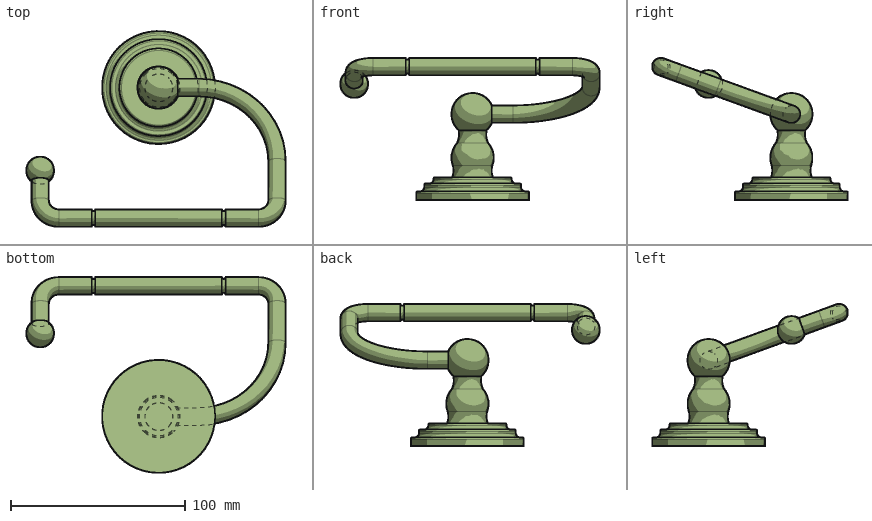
import cadquery as cq
import math

flange_radius = 32.5
flange_rim_top = 5.0
flange_rim_round = 1.0
middle_radius = 27.9
middle_top = 9.5
middle_round = 0.9
upper_radius = 22.5
flange_height = 13.1
upper_round = 1.0
cove_radius = 2.4

post_foot_radius = 11.8
foot_waist_radius = 11.0
foot_waist_height = 17.3
bulge_start_radius = 11.5
bulge_start_height = 20.0
bulge_radius = 12.2
bulge_height = 24.9
neck_start_radius = 9.0
neck_start_height = 32.8
neck_radius = 7.9
neck_height = 37.0
collar_radius = 8.0
collar_height = 39.5
ball_radius = 12.2
ball_height = 49.4

arm_tilt = 20.0
arm_radius = 5.0
arm_half_width = 68.0
arm_reach = 79.8
large_bend_radius = 45.0
small_bend_radius = 10.7
tip_distance = 50.7
tip_ball_radius = 8.0
groove_offset = 37.5
groove_radius = 1.0


def add_cove(profile, rim_radius, foot_height):
    """Continue the profile up a concave quarter round that ends on the next rim."""
    sag = cove_radius * (1 - math.sqrt(0.5))
    return (
        profile.lineTo(rim_radius + cove_radius, foot_height)
        .threePointArc((rim_radius + sag, foot_height + sag), (rim_radius, foot_height + cove_radius))
    )


def add_rim(profile, rim_radius, rim_top, rounding):
    """Continue the profile up a rim and over its rounded top edge."""
    inset = rounding * (1 - math.sqrt(0.5))
    return (
        profile.lineTo(rim_radius, rim_top - rounding)
        .threePointArc((rim_radius - inset, rim_top - inset), (rim_radius - rounding, rim_top))
    )


def make_flange():
    profile = cq.Workplane("XZ").lineTo(flange_radius, 0)
    profile = add_rim(profile, flange_radius, flange_rim_top, flange_rim_round)
    profile = add_cove(profile, middle_radius, flange_rim_top)
    profile = add_rim(profile, middle_radius, middle_top, middle_round)
    profile = add_cove(profile, upper_radius, middle_top)
    profile = add_rim(profile, upper_radius, flange_height, upper_round)
    return profile.lineTo(0, flange_height).close().revolve(360, (0, 0, 0), (0, 1, 0))


def make_post():
    ball_cut_height = ball_height - math.sqrt(ball_radius**2 - collar_radius**2)
    return (
        cq.Workplane("XZ")
        .moveTo(0, flange_height)
        .lineTo(post_foot_radius, flange_height)
        .threePointArc((foot_waist_radius, foot_waist_height), (bulge_start_radius, bulge_start_height))
        .threePointArc((bulge_radius, bulge_height), (neck_start_radius, neck_start_height))
        .threePointArc((neck_radius, neck_height), (collar_radius, collar_height))
        .lineTo(collar_radius, ball_cut_height)
        .threePointArc((ball_radius, ball_height), (0, ball_height + ball_radius))
        .close()
        .revolve(360, (0, 0, 0), (0, 1, 0))
    )


def make_arm():
    """Arm in the XY plane with the post ball center at the origin."""
    path = (
        cq.Workplane("XY")
        .lineTo(arm_half_width - large_bend_radius, 0)
        .radiusArc((arm_half_width, -large_bend_radius), large_bend_radius)
        .lineTo(arm_half_width, small_bend_radius - arm_reach)
        .radiusArc((arm_half_width - small_bend_radius, -arm_reach), small_bend_radius)
        .lineTo(small_bend_radius - arm_half_width, -arm_reach)
        .radiusArc((-arm_half_width, small_bend_radius - arm_reach), small_bend_radius)
        .lineTo(-arm_half_width, -tip_distance)
    )
    arm = cq.Workplane("YZ").circle(arm_radius).sweep(path)
    for groove_x in (-groove_offset, groove_offset):
        ring = cq.Solid.makeTorus(
            arm_radius, groove_radius, cq.Vector(groove_x, -arm_reach, 0), cq.Vector(1, 0, 0)
        )
        arm = arm.cut(cq.Workplane(ring))
    tip_ball = cq.Workplane("XY").sphere(tip_ball_radius).translate((-arm_half_width, -tip_distance, 0))
    return arm.union(tip_ball)


def make_holder():
    """Post and arm as one solid."""
    arm = make_arm().rotate((0, 0, 0), (1, 0, 0), -arm_tilt).translate((0, 0, ball_height))
    return make_post().union(arm)


flange = make_flange()
holder = make_holder()
result = cq.Compound.makeCompound([flange.val(), *holder.vals()])